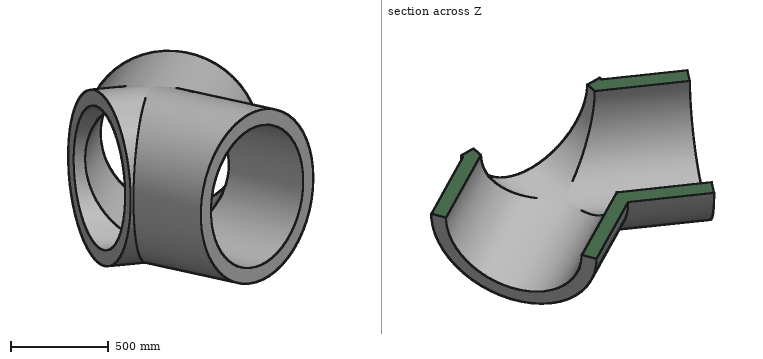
import cadquery as cq
import math

overall_width = 1689.0
overall_depth = 1030.0
outer_diameter = 914.0
bore_diameter = 748.0
arm_angle = 30.0
stub_angle = -90.0

outer_radius = outer_diameter / 2
arm_cos = math.cos(math.radians(arm_angle))
arm_sin = math.sin(math.radians(arm_angle))
arm_length = (overall_width / 2 - outer_radius * arm_sin) / arm_cos
arm_reach_y = arm_length * arm_sin + outer_radius * arm_cos
stub_length = overall_depth - arm_reach_y

leg_angles = [stub_angle, arm_angle, 180 - arm_angle]


def leg_cylinder(diameter, angle):
    """Cylinder from the junction centre outwards, angle measured from +X about Z."""
    cylinder = cq.Workplane("YZ").circle(diameter / 2).extrude(arm_length)
    return cylinder.rotate((0, 0, 0), (0, 0, 1), angle)


def joined_legs(diameter):
    """Three equally long leg cylinders of one diameter, fused at the junction."""
    joined = cq.Workplane("XY")
    for angle in leg_angles:
        joined = joined.add(leg_cylinder(diameter, angle))
    return joined.combine()


equal_fitting = joined_legs(outer_diameter).cut(joined_legs(bore_diameter))

stub_trim = (
    cq.Workplane("XZ", origin=(0, -stub_length, 0))
    .rect(overall_width, outer_diameter * 2)
    .extrude(arm_length)
)
result = equal_fitting.cut(stub_trim)